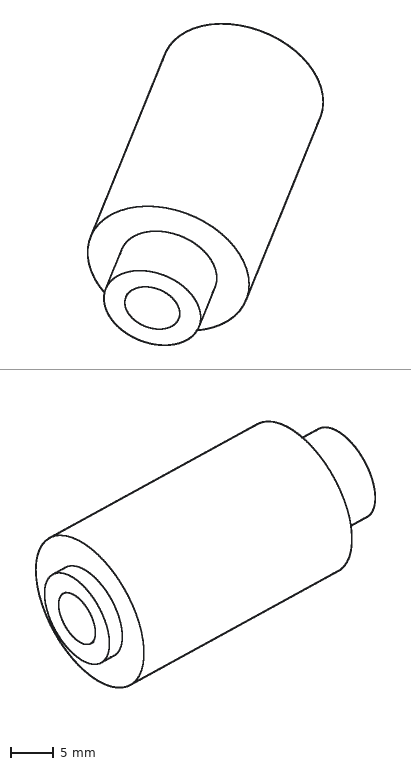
import cadquery as cq

body_diameter = 20.0
journal_diameter = 12.0
bore_diameter = 6.8
front_journal_length = 7.0
body_length = 32.4
rear_journal_length = 2.0

total_length = front_journal_length + body_length + rear_journal_length


def cylinder_along_y(diameter, start_y, length):
    """Solid cylinder on the Y axis, growing from start_y toward +Y."""
    return (
        cq.Workplane("XZ", origin=(0, start_y, 0))
        .circle(diameter / 2)
        .extrude(-length)
    )


journals = cylinder_along_y(journal_diameter, 0, total_length)
body = cylinder_along_y(body_diameter, front_journal_length, body_length)
bore = cylinder_along_y(bore_diameter, 0, total_length)

result = journals.union(body).cut(bore)